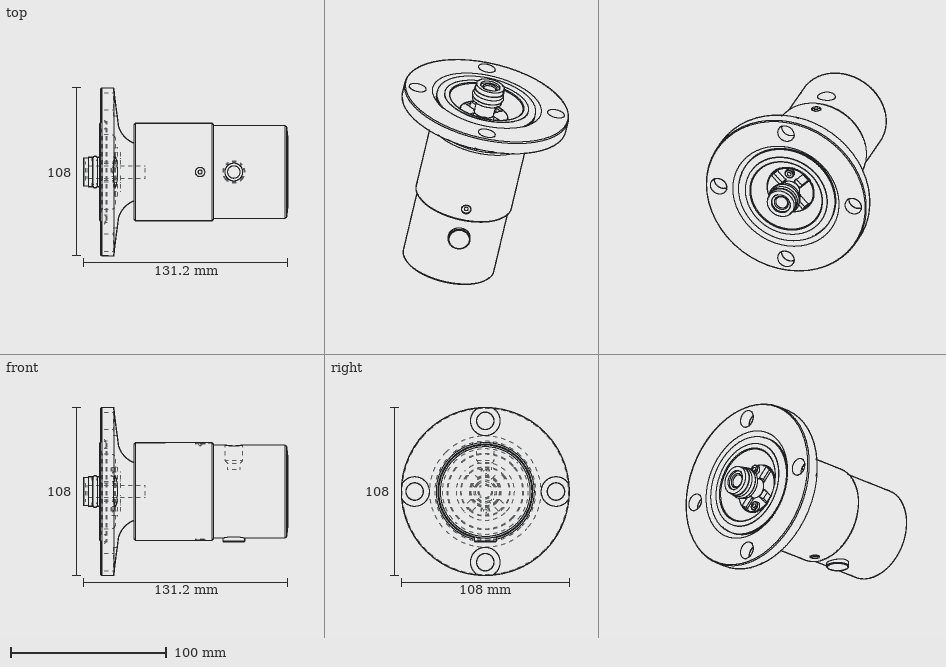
import cadquery as cq
LENGTH = 131.2

flange_dia = 108.0
flange_front = 10.9
rim_back = 19.4
rim_chamfer_x = 0.9
rim_chamfer_r = 0.5
cone_back = 22.4
cone_back_dia = 59.0
neck_mid_x = 26.5
neck_mid_dia = 44.9
neck_dia = 37.3
bolt_hole_dia = 11.0
bolt_circle_dia = 90.8
bolt_count = 4
spot_face_dia = 19.0
spot_face_x = 19.2

housing_front = 32.3
housing_dia = 63.0
housing_chamfer = 1.0
step_x = 83.4
rear_dia = 59.8
rear_chamfer = 1.0
rear_cone = 0.8
rear_face_dia = 44.6

seal_mean_dia = 60.0
seal_section_dia = 4.9
seal_tip_x = 10.1
mouth_dia = 71.6
seal_x = seal_tip_x + seal_section_dia / 2
land_x = 11.4
cavity_dia = 48.0
cavity_floor = 20.5
cavity_fillet = 3.0
cavity_chamfer = 0.5

insert_face = 20.0
insert_dia = 31.0
insert_gap = 0.4
insert_gap_depth = 1.3
slot_width = 5.8
slot_depth = 3.8
slot_inner_radius = 6.5
slot_outer_radius = 15.0
slot_count = 4
stud_dia = 5.8
stud_height = 2.2
stud_chamfer = 0.4
stud_offset = 12.6
stud_hole_dia = 2.5
stud_hole_depth = 1.3

tube_dia = 19.0
tip_dia = 18.2
tip_length = 3.1
collar_back = 10.8
shaft_dia = 12.7
counterbore_dia = 12.7
counterbore_depth = 1.3
bore_dia = 8.0
bore_mouth_dia = 9.5
bore_depth = 39.4
tube_groove_front = 5.6
tube_groove_back = 8.8
tube_seal_section_dia = 2.9
tube_groove_dia = 14.7
tube_seal_x = tube_groove_back - tube_seal_section_dia / 2
tube_seal_mean_dia = tube_groove_dia + tube_seal_section_dia

port_x = 96.4
port_dia = 8.0
port_mouth_dia = 11.4
port_mouth_depth = 11.8
port_depth = 15.7
plug_dia = 14.2
plug_bottom = 32.3
plug_chamfer = 0.5
vent_x = 74.8
vent_dia = 6.0
vent_recess_depth = 1.0
vent_hole_dia = 2.5
vent_hole_depth = 1.3


def disc(x, dia, depth, z=0.0):
    """Cylinder along +X that starts at x."""
    return cq.Workplane("YZ", origin=(x, 0, z)).circle(dia / 2).extrude(depth)


def post(x, dia, z_low, z_high):
    """Vertical cylinder on the housing axis plane."""
    return cq.Workplane("XY", origin=(x, 0, z_low)).circle(dia / 2).extrude(z_high - z_low)


def turned(profile):
    return profile.close().revolve(360, (0, 0, 0), (1, 0, 0))


def ring(x, mean_dia, section_dia):
    section = cq.Workplane("XY").center(x, mean_dia / 2).circle(section_dia / 2)
    return section.revolve(360, (-x, -mean_dia / 2, 0), (1.3 - x, -mean_dia / 2, 0))


def groove(x_front, x_back, inner_dia, outer_dia):
    outer = disc(x_front, outer_dia, x_back - x_front)
    return outer.cut(disc(x_front, inner_dia, x_back - x_front))


def outer_form():
    """Flange, neck and housing as one turned outline."""
    flange_r = flange_dia / 2
    housing_r = housing_dia / 2
    rear_r = rear_dia / 2
    rear_edge_x = LENGTH - rear_cone
    profile = (
        cq.Workplane("XY")
        .moveTo(flange_front, 0)
        .lineTo(flange_front, flange_r - rim_chamfer_r)
        .lineTo(flange_front + rim_chamfer_x, flange_r)
        .lineTo(rim_back, flange_r)
        .lineTo(cone_back, cone_back_dia / 2)
        .threePointArc((neck_mid_x, neck_mid_dia / 2), (housing_front, neck_dia / 2))
        .lineTo(housing_front, housing_r - housing_chamfer)
        .lineTo(housing_front + housing_chamfer, housing_r)
        .lineTo(step_x - housing_chamfer, housing_r)
        .lineTo(step_x, housing_r - housing_chamfer)
        .lineTo(step_x, rear_r)
        .lineTo(rear_edge_x - rear_chamfer, rear_r)
        .lineTo(rear_edge_x, rear_r - rear_chamfer)
        .lineTo(LENGTH, rear_face_dia / 2)
        .lineTo(LENGTH, 0)
    )
    return turned(profile)


def front_recess():
    """Conical mouth, seal groove, flat land and cavity with a filleted floor."""
    cavity_r = cavity_dia / 2
    seal_outer_r = (seal_mean_dia + seal_section_dia) / 2
    mouth_depth = mouth_dia / 2 - seal_outer_r
    profile = (
        cq.Workplane("XY")
        .moveTo(flange_front, 0)
        .lineTo(flange_front, mouth_dia / 2)
        .lineTo(flange_front + mouth_depth, seal_outer_r)
        .lineTo(seal_x + seal_section_dia / 2, seal_outer_r)
        .lineTo(seal_x + seal_section_dia / 2, seal_outer_r - seal_section_dia)
        .lineTo(land_x, seal_outer_r - seal_section_dia)
        .lineTo(land_x, cavity_r + cavity_chamfer)
        .lineTo(land_x + cavity_chamfer, cavity_r)
        .lineTo(cavity_floor - cavity_fillet, cavity_r)
        .radiusArc((cavity_floor, cavity_r - cavity_fillet), cavity_fillet)
        .lineTo(cavity_floor, 0)
    )
    return turned(profile)


def insert_cuts():
    """Ring gap and diagonal slots in the cavity floor."""
    cuts = groove(
        cavity_floor,
        cavity_floor + insert_gap_depth,
        insert_dia,
        insert_dia + 2 * insert_gap,
    )
    slot_length = slot_outer_radius - slot_inner_radius
    for i in range(slot_count):
        slot = (
            cq.Workplane("XY")
            .box(slot_depth, slot_length, slot_width, centered=(False, False, True))
            .translate((insert_face, slot_inner_radius, 0))
            .rotate((0, 0, 0), (1, 0, 0), 45 + i * 360 / slot_count)
        )
        cuts = cuts.union(slot)
    return cuts


def stud(z):
    face_x = insert_face - stud_height
    body = disc(face_x, stud_dia, stud_height, z=z).faces("<X").chamfer(stud_chamfer)
    dimple = cq.Solid.makeCone(
        stud_hole_dia / 2, 0, stud_hole_depth, cq.Vector(face_x, 0, z), cq.Vector(1, 0, 0)
    )
    return body.cut(cq.Workplane(dimple))


def tube():
    tip = disc(0, tip_dia, tip_length)
    collar = disc(tip_length, tube_dia, collar_back - tip_length)
    shaft = disc(collar_back, shaft_dia, insert_face - collar_back)
    return tip.union(collar).union(shaft)


def tube_bore():
    mouth_depth = (bore_mouth_dia - bore_dia) / 2
    profile = (
        cq.Workplane("XY")
        .lineTo(0, counterbore_dia / 2)
        .lineTo(counterbore_depth, counterbore_dia / 2)
        .lineTo(counterbore_depth, bore_mouth_dia / 2)
        .lineTo(counterbore_depth + mouth_depth, bore_dia / 2)
        .lineTo(bore_depth, bore_dia / 2)
        .lineTo(bore_depth, 0)
    )
    return turned(profile)


def tube_groove():
    return groove(tube_groove_front, tube_groove_back, tube_groove_dia, tube_dia)


def on_bolt_circle(x_front, x_back, dia):
    return (
        cq.Workplane("YZ", origin=(x_front, 0, 0))
        .polarArray(bolt_circle_dia / 2, 0, 360, bolt_count)
        .circle(dia / 2)
        .extrude(x_back - x_front)
    )


def bolt_holes():
    """Through holes with spot faces cut into the sloping back of the flange."""
    holes = on_bolt_circle(flange_front, cone_back, bolt_hole_dia)
    return holes.union(on_bolt_circle(spot_face_x, cone_back, spot_face_dia))


def air_port():
    """Stepped port in the top of the rear housing, with a 45 degree shoulder."""
    top = rear_dia / 2
    shoulder = (port_mouth_dia - port_dia) / 2
    mouth = post(port_x, port_mouth_dia, top - port_mouth_depth, top)
    mouth = mouth.faces("<Z").chamfer(shoulder)
    return mouth.union(post(port_x, port_dia, top - port_depth, top))


def vents():
    """Recessed vents with conical centres in the top and the bottom of the housing."""
    surface = housing_dia / 2
    floor = surface - vent_recess_depth
    top = post(vent_x, vent_dia, floor, surface)
    dimple = cq.Solid.makeCone(
        vent_hole_dia / 2, 0, vent_hole_depth, cq.Vector(vent_x, 0, floor), cq.Vector(0, 0, -1)
    )
    top = top.union(cq.Workplane(dimple))
    return top.union(top.mirror("XY"))


def port_plug():
    """Round plug that stands out of the bottom of the rear housing."""
    plug = post(port_x, plug_dia, -plug_bottom, -plug_bottom + plug_dia / 2)
    return plug.faces("<Z").chamfer(plug_chamfer)


def make_union_body():
    body = outer_form().union(port_plug())
    body = body.cut(front_recess())
    body = body.union(disc(insert_face, insert_dia, cavity_floor - insert_face))
    body = body.cut(insert_cuts())
    body = body.union(tube())
    for z in (-stud_offset, stud_offset):
        body = body.union(stud(z))
    for cutter in (tube_bore(), tube_groove(), bolt_holes(), air_port(), vents()):
        body = body.cut(cutter)
    return body


union_body = make_union_body()
face_seal = ring(seal_x, seal_mean_dia, seal_section_dia)
tube_seal = ring(tube_seal_x, tube_seal_mean_dia, tube_seal_section_dia)

result = cq.Compound.makeCompound([union_body.val(), face_seal.val(), tube_seal.val()])